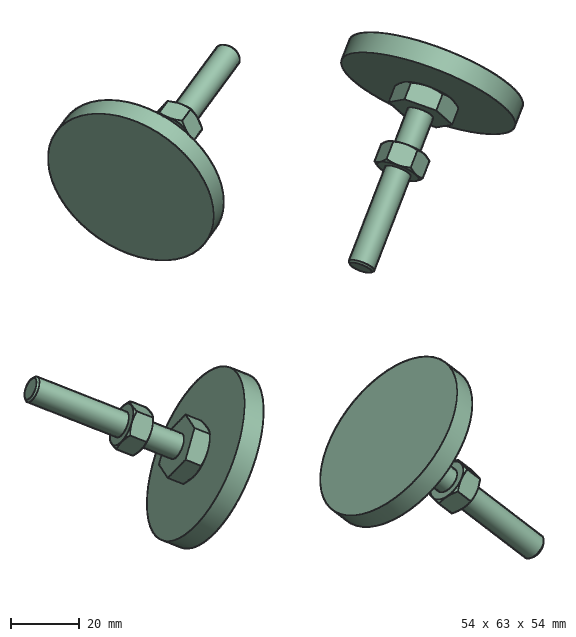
import cadquery as cq
import math

TOTAL_LENGTH = 63.0

PAD_DIAMETER = 54.0
PAD_THICKNESS = 6.55

STUD_DIAMETER = 8.0
TIP_CHAMFER = 0.6

HEAD_GAP = 0.4
HEAD_ACROSS_FLATS = 17.0
HEAD_HEIGHT = 6.1

BALL_DIAMETER = 6.3
BALL_EMBED = 2.5

NUT_ACROSS_FLATS = 13.0
NUT_HEIGHT = 6.8
NUT_START = 25.1

CORNER_ANGLE = 30.0
FACE_MARGIN = 0.1

HEAD_START = PAD_THICKNESS + HEAD_GAP
HEAD_END = HEAD_START + HEAD_HEIGHT
BALL_CENTRE = PAD_THICKNESS - BALL_EMBED


def cylinder(diameter, start, end):
    """Cylinder on the Y axis between two Y positions."""
    return cq.Workplane("XZ", origin=(0, start, 0)).circle(diameter / 2).extrude(start - end)


def hexagon(across_flats, start, height, chamfer_far_end):
    """Hex prism with corners on X; its corners are turned off by cones."""
    corner_radius = across_flats / math.sqrt(3)
    face_radius = (across_flats - FACE_MARGIN) / 2
    drop = (corner_radius - face_radius) * math.tan(math.radians(CORNER_ANGLE))
    end = start + height

    prism = (
        cq.Workplane("XZ", origin=(0, start, 0))
        .polygon(6, 2 * corner_radius)
        .extrude(-height)
    )
    profile = (
        cq.Workplane("XY")
        .moveTo(0, start)
        .lineTo(face_radius, start)
        .lineTo(corner_radius, start + drop)
    )
    if chamfer_far_end:
        profile = profile.lineTo(corner_radius, end - drop).lineTo(face_radius, end)
    else:
        profile = profile.lineTo(corner_radius, end)
    envelope = profile.lineTo(0, end).close().revolve(360, (0, 0, 0), (0, 1, 0))
    return prism.intersect(envelope)


def make_ball():
    """Ball joint between pad and stud head."""
    return cq.Workplane("XY", origin=(0, BALL_CENTRE, 0)).sphere(BALL_DIAMETER / 2)


def make_pad():
    """Round pad with a socket for the ball."""
    return cylinder(PAD_DIAMETER, 0, PAD_THICKNESS).cut(make_ball())


def make_stud():
    """Stud with a chamfered tip, a hex head and a ball below the head."""
    shank = cylinder(STUD_DIAMETER, HEAD_END, TOTAL_LENGTH).faces(">Y").chamfer(TIP_CHAMFER)
    head = hexagon(HEAD_ACROSS_FLATS, HEAD_START, HEAD_HEIGHT, False)
    return shank.union(head).union(make_ball())


def make_nut():
    """Lock nut, chamfered at both ends, bored to fit the stud."""
    blank = hexagon(NUT_ACROSS_FLATS, NUT_START, NUT_HEIGHT, True)
    return blank.cut(cylinder(STUD_DIAMETER, NUT_START, NUT_START + NUT_HEIGHT))


pad = make_pad()
stud = make_stud()
nut = make_nut()

result = cq.Compound.makeCompound([pad.val(), stud.val(), nut.val()])